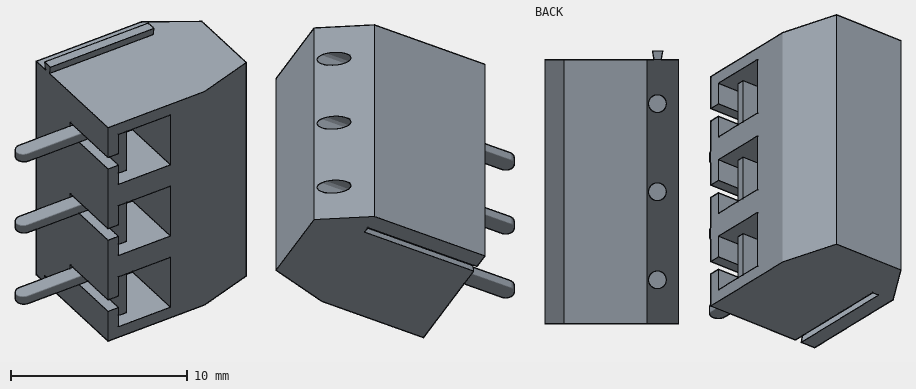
import cadquery as cq
import math


overall_height = 15.5
housing_width = 7.6
housing_depth = 10.0
housing_height = 15.0
left_slope_start = 7.08
left_slope_width = 1.8
right_slope_start = 6.5
right_slope_width = 1.08

way_count = 3
way_pitch = housing_height / way_count
way_levels = [(index + 0.5) * way_pitch for index in range(way_count)]

rail_height = overall_height - housing_height
rail_center_x = 1.2
rail_tip_width = 0.6
rail_root_width = 0.42
rail_length = 6.98

test_hole_diameter = 1.0
test_hole_center_y = 9.04
test_hole_floor_y = housing_depth / 2

pin_length = 4.0
pin_width = 1.0
pin_thickness = 0.6
pin_center_x = 4.2
pin_edge_radius = 0.1

chamber_left_x = 3.6
chamber_size = 3.5
chamber_floor_y = 0.7
chamber_length = housing_width - chamber_left_x
slot_height = 0.8

contact_underside_y = 1.0
contact_thickness = 0.62
contact_flat_end_x = 6.12
contact_tip_x = 6.7
contact_slope_angle = 18.0
contact_nose_radius = 0.37


def housing_block():
    right_slope_top_x = housing_width - right_slope_width
    return (
        cq.Workplane("XY")
        .moveTo(0, 0)
        .lineTo(housing_width, 0)
        .lineTo(housing_width, right_slope_start)
        .lineTo(right_slope_top_x, housing_depth)
        .lineTo(left_slope_width, housing_depth)
        .lineTo(0, left_slope_start)
        .close()
        .extrude(housing_height)
    )


def dovetail(root_z):
    """Dovetail bar along Y that widens upwards from root_z."""
    half_root = rail_root_width / 2
    half_tip = rail_tip_width / 2
    tip_z = root_z + rail_height
    return (
        cq.Workplane("XZ")
        .moveTo(rail_center_x - half_root, root_z)
        .lineTo(rail_center_x + half_root, root_z)
        .lineTo(rail_center_x + half_tip, tip_z)
        .lineTo(rail_center_x - half_tip, tip_z)
        .close()
        .extrude(-rail_length)
    )


def test_hole(level):
    slope_rise = housing_depth - left_slope_start
    center_x = left_slope_width * (test_hole_center_y - left_slope_start) / slope_rise
    return cq.Workplane(
        cq.Solid.makeCylinder(
            test_hole_diameter / 2,
            housing_depth - test_hole_floor_y,
            cq.Vector(center_x, test_hole_floor_y, level),
            cq.Vector(0, 1, 0),
        )
    )


def wire_chamber(level):
    chamber = (
        cq.Workplane("XY")
        .box(chamber_length, chamber_size, chamber_size, centered=(False, False, True))
        .translate((chamber_left_x, chamber_floor_y, level))
    )
    slot = (
        cq.Workplane("XY")
        .box(chamber_length, chamber_floor_y, slot_height, centered=(False, False, True))
        .translate((chamber_left_x, 0, level))
    )
    return chamber.union(slot)


def make_housing():
    body = housing_block()
    body = body.union(dovetail(housing_height))
    body = body.cut(dovetail(0))
    for level in way_levels:
        body = body.cut(test_hole(level))
        body = body.cut(wire_chamber(level))
    return body


def make_contact(level):
    """Plate across the chamber, against the chamber's left wall."""
    slope_rise = (contact_tip_x - contact_flat_end_x) * math.tan(math.radians(contact_slope_angle))
    top_y = contact_underside_y + slope_rise + contact_thickness
    return (
        cq.Workplane("XY")
        .moveTo(chamber_left_x, contact_underside_y)
        .lineTo(contact_flat_end_x, contact_underside_y)
        .lineTo(contact_tip_x, contact_underside_y + slope_rise)
        .lineTo(contact_tip_x, top_y)
        .lineTo(chamber_left_x, top_y)
        .close()
        .extrude(chamber_size / 2, both=True)
        .edges("|Z and >X")
        .edges("<Y")
        .fillet(contact_nose_radius)
        .translate((0, 0, level))
    )


def make_pin(level):
    """Flat pin with a round tip and rounded long edges, standing on the contact plate."""
    tip_radius = pin_width / 2
    left_x = pin_center_x - tip_radius
    right_x = pin_center_x + tip_radius
    tip_start_y = tip_radius - pin_length
    return (
        cq.Workplane("XY")
        .moveTo(left_x, contact_underside_y)
        .lineTo(left_x, tip_start_y)
        .threePointArc((pin_center_x, -pin_length), (right_x, tip_start_y))
        .lineTo(right_x, contact_underside_y)
        .close()
        .extrude(pin_thickness / 2, both=True)
        .faces("<Z or >Z")
        .edges("not >Y")
        .fillet(pin_edge_radius)
        .translate((0, 0, level))
    )


housing = make_housing()
contacts = [make_contact(level) for level in way_levels]
pins = [make_pin(level) for level in way_levels]

result = cq.Compound.makeCompound(
    [
        housing.solids().val(),
        *[contact.solids().val() for contact in contacts],
        *[pin.solids().val() for pin in pins],
    ]
)